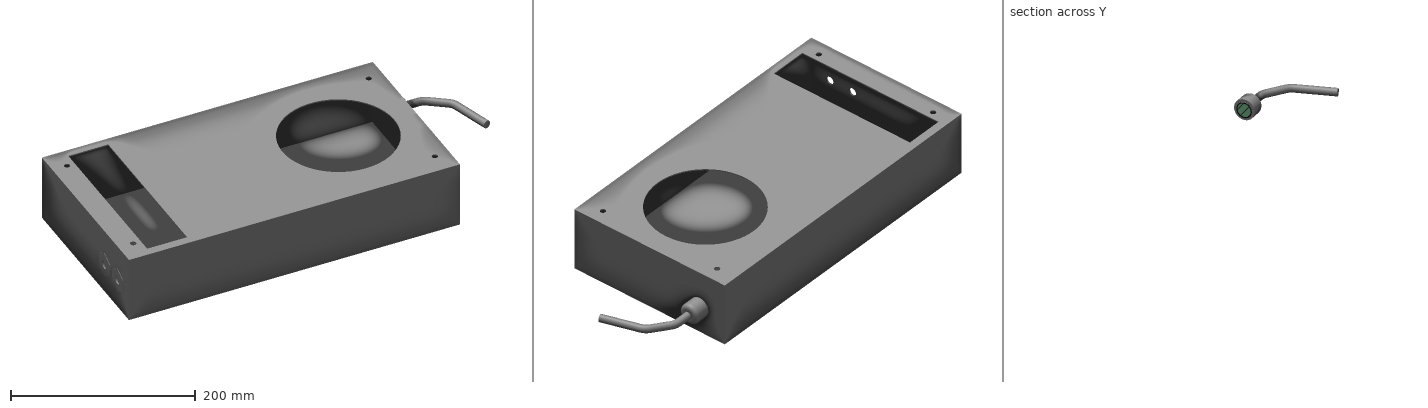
import cadquery as cq
import math

box_width = 212.0
box_length = 399.5
box_height = 80.0
wall = 1.5

round_opening_diameter = 135.0
round_opening_y = 305.5
slot_width = 192.0
slot_length = 48.0
slot_front_y = 27.0
screw_hole_diameter = 7.0
screw_hole_spacing = 161.0
screw_hole_inset = 17.5

connector_z = 36.0
socket_positions_x = (46.5, 78.5)
socket_corner_diameter = 30.5
socket_projection = 0.5
socket_bore = 10.0

gland_x = -72.5
neck_diameter = 18.0
neck_length = 2.5
collar_diameter = 25.0
collar_length = 19.5
collar_shoulder = 5.0

cable_diameter = 9.5
bend_radius = 15.0
first_corner_rise = 43.0
middle_run = 34.0
middle_angle = math.radians(54.7)
end_run = 53.0
end_angle = math.radians(17)


def make_box():
    """Closed hollow box with the same wall on all six sides."""
    outer = cq.Workplane("XY").box(box_width, box_length, box_height)
    cavity = cq.Workplane("XY").box(
        box_width - 2 * wall, box_length - 2 * wall, box_height - 2 * wall
    )
    return outer.cut(cavity).translate((0, box_length / 2, box_height / 2))


def top_openings():
    """Cutter for the round opening, the slot and the four screw holes."""
    plane = cq.Workplane("XY", origin=(0, 0, box_height - wall))
    opening = plane.center(0, round_opening_y).circle(round_opening_diameter / 2).extrude(wall)
    slot = plane.center(0, slot_front_y + slot_length / 2).rect(slot_width, slot_length).extrude(wall)
    screw_holes = (
        plane.center(0, box_length / 2)
        .rect(screw_hole_spacing, box_length - 2 * screw_hole_inset, forConstruction=True)
        .vertices()
        .circle(screw_hole_diameter / 2)
        .extrude(wall)
    )
    return opening.union(slot).union(screw_holes)


def add_socket(body, x):
    """Add a thin hexagon to the front wall and bore it through."""
    plane = cq.Workplane("XZ", origin=(x, wall, connector_z))
    depth = wall + socket_projection
    hexagon = plane.transformed(rotate=(0, 0, 90)).polygon(6, socket_corner_diameter).extrude(depth)
    bore = plane.circle(socket_bore / 2).extrude(depth)
    return body.union(hexagon).cut(bore)


def make_gland():
    """Neck and round-shouldered collar standing on the rear wall."""
    rear = cq.Workplane("XZ", origin=(gland_x, box_length, connector_z))
    neck = rear.circle(neck_diameter / 2).extrude(-neck_length)
    collar = (
        rear.workplane(offset=-neck_length)
        .circle(collar_diameter / 2)
        .extrude(-collar_length)
        .faces(">Y")
        .edges()
        .fillet(collar_shoulder)
    )
    return neck.union(collar)


def along(point, angle, distance):
    """Point reached from a start point by moving at an angle to X."""
    return (point[0] + distance * math.cos(angle), point[1] + distance * math.sin(angle))


def make_cable():
    """Round cable swept along its bent centre line, starting inside the collar."""
    start_angle = math.pi / 2
    start = (gland_x, box_length + neck_length)
    first_corner = (gland_x, box_length + first_corner_rise)
    second_corner = along(first_corner, middle_angle, middle_run)
    end = along(second_corner, end_angle, end_run)

    first_setback = bend_radius * math.tan((start_angle - middle_angle) / 2)
    second_setback = bend_radius * math.tan((middle_angle - end_angle) / 2)

    path = (
        cq.Workplane("XY", origin=(0, 0, connector_z))
        .moveTo(*start)
        .lineTo(*along(first_corner, start_angle, -first_setback))
        .tangentArcPoint(along(first_corner, middle_angle, first_setback), relative=False)
        .lineTo(*along(second_corner, middle_angle, -second_setback))
        .tangentArcPoint(along(second_corner, end_angle, second_setback), relative=False)
        .lineTo(*end)
    )
    section = cq.Workplane("XZ", origin=(start[0], start[1], connector_z)).circle(cable_diameter / 2)
    return section.sweep(path)


result = make_box().cut(top_openings())
for socket_x in socket_positions_x:
    result = add_socket(result, socket_x)
result = result.union(make_gland()).union(make_cable())